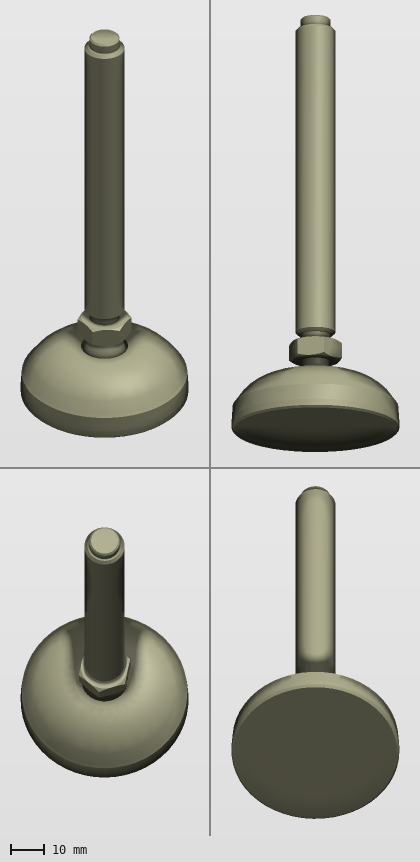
import cadquery as cq
import math

base_diameter = 50.0
pad_height = 2.5
pad_chamfer = 0.6
rim_top_radius = 24.7
rim_top_z = 7.3
dome_edge_radius = 24.2
dome_edge_z = 7.9
dome_flat_radius = 9.2
plate_top_z = 16.7
socket_diameter = 14.0

ball_diameter = 13.2
neck_diameter = 8.0
neck_bottom_z = 19.3
hex_bottom_z = 21.2
hex_height = 5.7
hex_across_flats = 14.0
hex_bevel_angle = 30.0
undercut_diameter = 9.0
rod_diameter = 12.0
rod_bottom_z = 29.3
rod_top_z = 124.1
rod_chamfer = 0.9
tip_top_z = 127.2
tip_chamfer = 0.5

base_radius = base_diameter / 2
ball_radius = ball_diameter / 2
neck_radius = neck_diameter / 2
ball_center_z = neck_bottom_z - math.sqrt(ball_radius**2 - neck_radius**2)
hex_top_z = hex_bottom_z + hex_height
hex_across_corners = hex_across_flats / math.cos(math.radians(30))


def cylinder(diameter, bottom_z, top_z):
    """Vertical cylinder on the Z axis."""
    return cq.Workplane("XY").workplane(offset=bottom_z).circle(diameter / 2).extrude(top_z - bottom_z)


def make_ball():
    """Ball shared by the spindle end and its seat in the plate."""
    return cq.Workplane("XY").sphere(ball_radius).translate((0, 0, ball_center_z))


def make_pad():
    """Flat disc with a chamfered bottom edge."""
    return cylinder(base_diameter, 0, pad_height).faces("<Z").edges().chamfer(pad_chamfer)


def make_plate():
    """Domed plate with an open socket whose lower half fits the ball."""
    run = dome_edge_radius - dome_flat_radius
    drop = plate_top_z - dome_edge_z
    dome_arc_radius = (run**2 + drop**2) / (2 * drop)
    half_sweep = math.asin(run / dome_arc_radius) / 2
    dome_middle = (
        dome_flat_radius + dome_arc_radius * math.sin(half_sweep),
        plate_top_z - dome_arc_radius * (1 - math.cos(half_sweep)),
    )
    plate = (
        cq.Workplane("XZ")
        .moveTo(0, pad_height)
        .lineTo(base_radius, pad_height)
        .lineTo(rim_top_radius, rim_top_z)
        .lineTo(dome_edge_radius, dome_edge_z)
        .threePointArc(dome_middle, (dome_flat_radius, plate_top_z))
        .lineTo(0, plate_top_z)
        .close()
        .revolve(360, (0, 0, 0), (0, 1, 0))
    )
    socket = cylinder(socket_diameter, ball_center_z, plate_top_z)
    return plate.cut(socket).cut(make_ball())


def make_hexagon():
    """Wrench hexagon with corners on the Y axis, bevelled at both ends."""
    prism = (
        cq.Workplane("XY")
        .workplane(offset=hex_bottom_z)
        .polygon(6, hex_across_corners)
        .extrude(hex_height)
        .rotate((0, 0, 0), (0, 0, 1), 30)
    )
    bevel_width = (hex_across_corners - hex_across_flats) / 2
    bevel_height = bevel_width * math.tan(math.radians(hex_bevel_angle))
    envelope = (
        cylinder(hex_across_corners, hex_bottom_z, hex_top_z)
        .faces("<Z or >Z")
        .edges()
        .chamfer(bevel_height, bevel_width)
    )
    return prism.intersect(envelope)


def make_spindle():
    """Ball-ended rod with its wrench hexagon and reduced tip."""
    neck = cylinder(neck_diameter, ball_center_z, hex_bottom_z)
    undercut = cylinder(undercut_diameter, hex_top_z, rod_bottom_z)
    rod = cylinder(rod_diameter, rod_bottom_z, rod_top_z).faces("<Z or >Z").edges().chamfer(rod_chamfer)
    tip = cylinder(undercut_diameter, rod_top_z, tip_top_z).faces(">Z").edges().chamfer(tip_chamfer)
    return make_ball().union(neck).union(make_hexagon()).union(undercut).union(rod).union(tip)


pad = make_pad()
plate = make_plate()
spindle = make_spindle()

result = cq.Compound.makeCompound([pad.val(), plate.val(), spindle.val()])